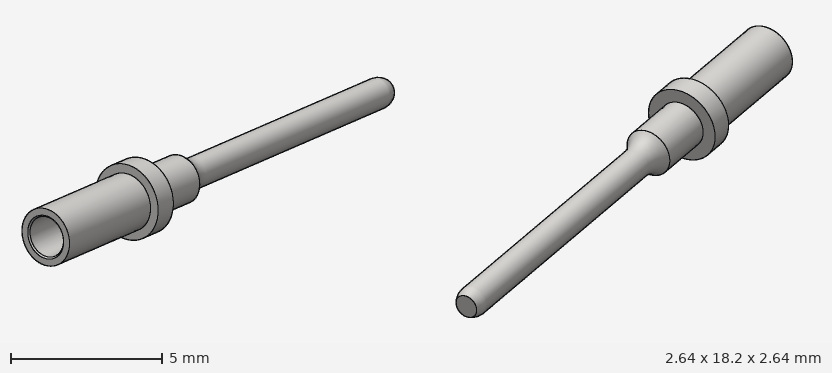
import cadquery as cq
import math

total_length = 18.19

barrel_diameter = 2.0
flange_diameter = 2.64
neck_diameter = 1.7
pin_diameter = 1.07
tip_diameter = 0.82

barrel_length = 4.35
flange_length = 0.82
neck_length = 2.02
flare_length = 0.78
tip_length = 0.4

bore_diameter = 1.4
bore_depth = 4.0
bore_cone_angle = 118.0
mouth_chamfer = 0.05
inspection_diameter = 0.71
inspection_offset = 3.25

barrel_end = -total_length / 2
flange_start = barrel_end + barrel_length
neck_start = flange_start + flange_length
flare_start = neck_start + neck_length
pin_start = flare_start + flare_length
pin_end = total_length / 2
tip_start = pin_end - tip_length

barrel_radius = barrel_diameter / 2
flange_radius = flange_diameter / 2
neck_radius = neck_diameter / 2
pin_radius = pin_diameter / 2
tip_radius = tip_diameter / 2
bore_radius = bore_diameter / 2


def revolve_about_y(profile):
    """Close a half profile along the Y axis and spin it into a solid."""
    return profile.close().revolve(360, (0, 0, 0), (0, 1, 0))


def tangent_arc_middle(radius, station, end_radius, end_station):
    """Middle point of an arc that leaves (radius, station) parallel to Y."""
    rise = end_radius - radius
    run = end_station - station
    arc_radius = (rise**2 + run**2) / (2 * abs(rise))
    half_sweep = math.asin(abs(run) / arc_radius) / 2
    middle_radius = radius + math.copysign(arc_radius * (1 - math.cos(half_sweep)), rise)
    middle_station = station + math.copysign(arc_radius * math.sin(half_sweep), run)
    return middle_radius, middle_station


def make_body():
    """Stepped body with a concave flare and a rounded tip, both tangent to the pin."""
    flare_middle = tangent_arc_middle(pin_radius, pin_start, neck_radius, flare_start)
    tip_middle = tangent_arc_middle(pin_radius, tip_start, tip_radius, pin_end)
    profile = (
        cq.Workplane("XY")
        .moveTo(0, barrel_end)
        .lineTo(barrel_radius, barrel_end)
        .lineTo(barrel_radius, flange_start)
        .lineTo(flange_radius, flange_start)
        .lineTo(flange_radius, neck_start)
        .lineTo(neck_radius, neck_start)
        .lineTo(neck_radius, flare_start)
        .threePointArc(flare_middle, (pin_radius, pin_start))
        .lineTo(pin_radius, tip_start)
        .threePointArc(tip_middle, (tip_radius, pin_end))
        .lineTo(0, pin_end)
    )
    return revolve_about_y(profile)


def make_bore():
    """Blind crimp bore with a chamfered mouth and a conical drill end."""
    bore_end = barrel_end + bore_depth
    cone_length = bore_radius / math.tan(math.radians(bore_cone_angle / 2))
    profile = (
        cq.Workplane("XY")
        .moveTo(0, barrel_end)
        .lineTo(bore_radius + mouth_chamfer, barrel_end)
        .lineTo(bore_radius, barrel_end + mouth_chamfer)
        .lineTo(bore_radius, bore_end)
        .lineTo(0, bore_end + cone_length)
    )
    return revolve_about_y(profile)


def make_inspection_hole():
    """Radial hole from the bore through the -Z wall of the barrel."""
    return (
        cq.Workplane("XY")
        .center(0, barrel_end + inspection_offset)
        .circle(inspection_diameter / 2)
        .extrude(-barrel_diameter)
    )


result = make_body().cut(make_bore()).cut(make_inspection_hole())